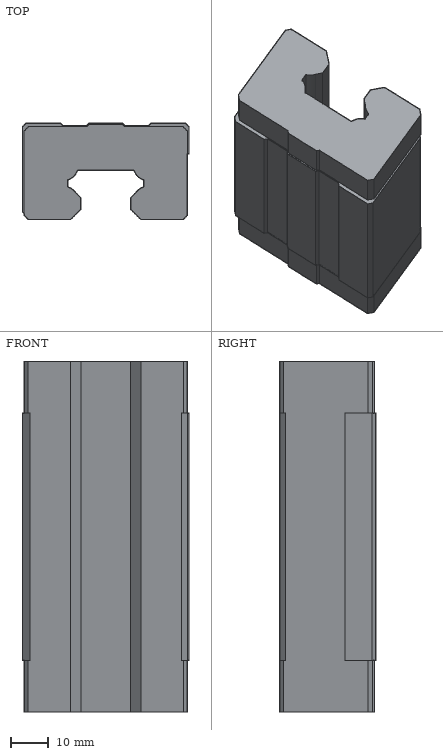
import cadquery as cq


total_length = 92.5
block_length = 65.2
cap_length = (total_length - block_length) / 2

block_half_width = 44.0 / 2
block_height = 25.4
block_top_chamfer = 1.0
block_bottom_chamfer = 2.0
step_height = 17.3

cap_half_width = 43.1 / 2
cap_height = 25.1
cap_shoulder_height = 24.5
cap_top_chamfer = 1.2
cap_bottom_chamfer = 1.1
cap_pad_half_width = 4.4
cap_pad_slope = 0.6

groove_depth = 0.65
groove_inner = 4.4
groove_outer = 11.9

mouth_half_width = 9.25
neck_half_width = 6.6
neck_bottom = mouth_half_width - neck_half_width
neck_top = 5.7
bulge_half_width = 8.0
lower_bulge_bottom = neck_top + bulge_half_width - neck_half_width
recess_half_width = 10.0
recess_bottom = 8.6
recess_top = 10.45
upper_bulge_top = recess_bottom + recess_top - lower_bulge_bottom
bulge_mid_half_width = 8.5
bulge_mid_offset = 0.8
roof_half_width = 7.4
roof_height = 12.95


def mirrored_polygon(right_side):
    """Wire through the right-hand points and their mirror images about X = 0."""
    left_side = [(-x, y) for x, y in reversed(right_side)]
    return cq.Workplane("XY").polyline(right_side + left_side).close()


def make_cap():
    """One end cap, standing on Z = 0."""
    section = mirrored_polygon([
        (cap_half_width - cap_bottom_chamfer, 0),
        (cap_half_width, cap_bottom_chamfer),
        (cap_half_width, cap_shoulder_height - cap_top_chamfer),
        (cap_half_width - cap_top_chamfer, cap_shoulder_height),
        (cap_pad_half_width + cap_pad_slope, cap_shoulder_height),
        (cap_pad_half_width, cap_height),
    ])
    return section.extrude(cap_length)


def make_block():
    """Steel block with grooved back and a set-back lower part on its +X side."""
    section = mirrored_polygon([
        (block_half_width - block_bottom_chamfer, 0),
        (block_half_width, block_bottom_chamfer),
        (block_half_width, block_height - block_top_chamfer),
        (block_half_width - block_top_chamfer, block_height),
        (groove_outer, block_height),
        (groove_outer - groove_depth, block_height - groove_depth),
        (groove_inner + groove_depth, block_height - groove_depth),
        (groove_inner, block_height),
    ])
    block = section.extrude(block_length)
    side_step = cq.Workplane("XY").box(
        block_half_width, step_height, block_length, centered=False
    ).translate((cap_half_width, 0, 0))
    return block.cut(side_step).translate((0, 0, cap_length))


def make_channel():
    """Rail channel: chamfered mouth, neck, rounded bulges and side recesses."""
    section = (
        cq.Workplane("XY")
        .moveTo(mouth_half_width, 0)
        .lineTo(neck_half_width, neck_bottom)
        .lineTo(neck_half_width, neck_top)
        .lineTo(bulge_half_width, lower_bulge_bottom)
        .threePointArc(
            (bulge_mid_half_width, recess_bottom - bulge_mid_offset),
            (recess_half_width, recess_bottom),
        )
        .lineTo(recess_half_width, recess_top)
        .threePointArc(
            (bulge_mid_half_width, recess_top + bulge_mid_offset),
            (bulge_half_width, upper_bulge_top),
        )
        .lineTo(roof_half_width, roof_height)
        .lineTo(0, roof_height)
        .lineTo(0, 0)
        .close()
    )
    half = section.extrude(total_length)
    return half.union(half.mirror("YZ"))


lower_cap = make_cap()
upper_cap = lower_cap.translate((0, 0, cap_length + block_length))
result = make_block().union(lower_cap).union(upper_cap).cut(make_channel())